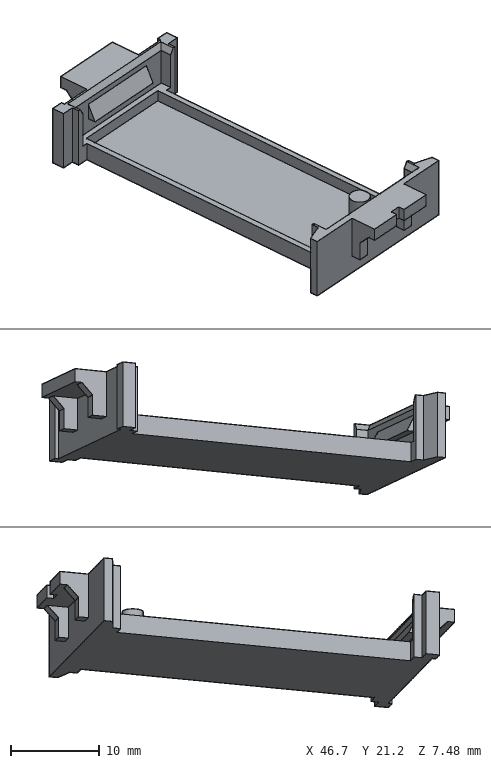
import cadquery as cq

overall_length = 46.66
height = 7.48

tray_height = 2.25
tray_width = 13.9
pocket_length = 36.1
pocket_width = 12.45
floor_thickness = 0.85

cap_width = 16.74
cap_inner_span = 34.7
cap_cavity_length = 37.5
cap_side_wall = 0.73
left_wall_face = -19.46
right_wall_face = 20.0
rim_bevel_width = 0.45
rim_bevel_depth = 0.75

left_ear_span = 19.82
left_ear_outer = -19.89
left_ear_thickness = 1.6

right_ear_span = 21.16
right_ear_tip_thickness = 1.0
right_ear_root_thickness = 1.75

tongue_width = 9.0
tongue_thickness = 1.53
gusset_width = 1.3
gusset_setback = 0.84
gusset_foot_setback = 2.18
gusset_slope_depth = 2.88
gusset_depth = 5.2
notch_width = 1.3
notch_depth = 0.8

catch_width = 10.1
catch_reach = 1.0
catch_bottom = 4.04
catch_top = 6.0

pin_diameter = 2.4
pin_x = 14.4
pin_y = 3.37
pin_top = 3.85

tongue_tip = overall_length / 2
cap_free_edge = cap_inner_span / 2
cap_inner_face = cap_cavity_length / 2
cap_half_width = cap_width / 2
cavity_half_width = cap_half_width - cap_side_wall


def block(x_start, x_end, width, z_start, z_end):
    """Box between two X and two Z limits, centred on Y = 0."""
    size = (x_end - x_start, width, z_end - z_start)
    return cq.Workplane("XY").box(*size, centered=(False, True, False)).translate((x_start, 0, z_start))


def extrude_across(points, width, y_centre=0):
    """Extrude an XZ outline along Y, centred on y_centre."""
    profile = cq.Workplane("XZ").polyline(points).close()
    return profile.extrude(width / 2, both=True).translate((0, y_centre, 0))


def tray_body():
    return block(-cap_inner_face, cap_inner_face, tray_width, 0, tray_height)


def cap(side, wall_face):
    """Cap at the end given by side (-1 left, 1 right), hollow above the tray rim."""
    x_start, x_end = sorted((side * cap_free_edge, wall_face))
    body = block(x_start, x_end, cap_width, 0, height)
    return body.cut(cap_cavity())


def cap_cavity():
    """Cavity spanning both caps, flared by a bevel along its top edge."""
    cavity = block(-cap_inner_face, cap_inner_face, 2 * cavity_half_width, tray_height, height)
    flare = (
        cq.Workplane("XY", origin=(0, 0, height - rim_bevel_depth))
        .rect(cap_cavity_length, 2 * cavity_half_width)
        .workplane(offset=rim_bevel_depth)
        .rect(cap_cavity_length + 2 * rim_bevel_width, 2 * (cavity_half_width + rim_bevel_width))
        .loft(ruled=True)
    )
    return cavity.union(flare)


def left_ears():
    ears = block(left_ear_outer, left_ear_outer + left_ear_thickness, left_ear_span, 0, height)
    gap = block(left_ear_outer, cap_inner_face, cap_width, 0, height)
    return ears.cut(gap)


def right_ear(side):
    """Tapered ear on the side of the right cap given by side (-1 or 1)."""
    root_y = side * cap_half_width
    tip_y = side * right_ear_span / 2
    outline = [
        (right_wall_face, root_y),
        (right_wall_face, tip_y),
        (right_wall_face - right_ear_tip_thickness, tip_y),
        (right_wall_face - right_ear_root_thickness, root_y),
    ]
    return cq.Workplane("XY").polyline(outline).close().extrude(height)


def tongue(side, wall_face):
    """Tongue with a gusset under each edge, pointing away from the tray."""
    x_start, x_end = sorted((wall_face, side * tongue_tip))
    grip = block(x_start, x_end, tongue_width, height - tongue_thickness, height)
    gusset_outline = [
        (wall_face, height - tongue_thickness),
        (side * (tongue_tip - gusset_setback), height - tongue_thickness),
        (side * (tongue_tip - gusset_foot_setback), height - gusset_slope_depth),
        (side * (tongue_tip - gusset_foot_setback), height - gusset_depth),
        (wall_face, height - gusset_depth),
    ]
    gusset_y = (tongue_width - gusset_width) / 2
    for y_centre in (-gusset_y, gusset_y):
        grip = grip.union(extrude_across(gusset_outline, gusset_width, y_centre))
    return grip


def catch(side):
    """Wedge on the inner cap face, flat below and sloping back to the face above."""
    outline = [
        (side * cap_inner_face, catch_top),
        (side * cap_inner_face, catch_bottom),
        (side * (cap_inner_face - catch_reach), catch_bottom),
    ]
    return extrude_across(outline, catch_width)


def pin():
    base = cq.Workplane("XY", origin=(pin_x, pin_y, floor_thickness))
    return base.circle(pin_diameter / 2).extrude(pin_top - floor_thickness)


result = tray_body()
for end, face in ((-1, left_wall_face), (1, right_wall_face)):
    result = result.union(cap(end, face))
    result = result.union(tongue(end, face))
    result = result.union(catch(end))
result = result.union(left_ears())
for ear_side in (-1, 1):
    result = result.union(right_ear(ear_side))

pocket = block(-pocket_length / 2, pocket_length / 2, pocket_width, floor_thickness, tray_height)
tip_notch = block(tongue_tip - notch_depth, tongue_tip, notch_width, height - tongue_thickness, height)
result = result.cut(pocket).cut(tip_notch).union(pin())